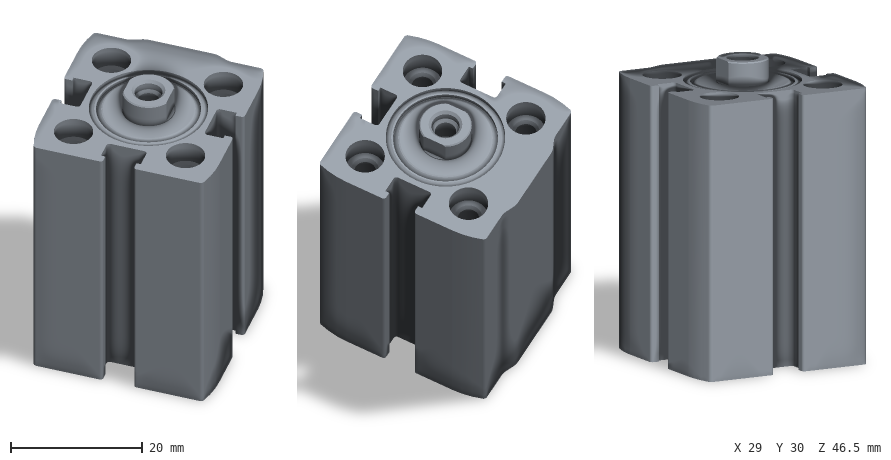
import cadquery as cq
import math

TOTAL_HEIGHT = 46.5
ROD_PROJECTION = 3.5
HOUSING_HEIGHT = TOTAL_HEIGHT - ROD_PROJECTION
HALF_WIDTH = 14.5

SIDE_FLAT_HALF = 9.2
SIDE_CURVE_RADIUS = 15.0
CORNER_RADIUS = 0.6
RAISED_BACK_HEIGHT = 0.98
RAISED_BACK_TOP_HALF = 5.7
RAISED_BACK_BASE_HALF = 8.0
RAISED_BACK_BLEND_RADIUS = 3.0

SLOT_MOUTH_WIDTH = 5.0
SLOT_INNER_WIDTH = 6.4
SLOT_DEPTH = 4.5
SLOT_LIP_THICKNESS = 1.4
SLOT_BOTTOM_RADIUS = 0.5
SLOT_LIP_RADIUS = 0.45
SLOT_ANGLES = [-90, 0, 180]

HOLE_SPACING = 18.0
HOLE_DIAMETER = 3.25
HOLE_CHAMFER_DIAMETER = 4.15
COUNTERBORE_DIAMETER = 6.0
COUNTERBORE_DEPTH = 3.5

COVER_RECESS = 0.2
COVER_HEIGHT = HOUSING_HEIGHT - COVER_RECESS
OUTER_GROOVE_DIAMETER = 18.2
OUTER_GROOVE_INNER_DIAMETER = 16.55
OUTER_GROOVE_SLOPE = 32.5
INNER_GROOVE_DIAMETER = 16.0
INNER_GROOVE_FLOOR_DIAMETER = 15.7
INNER_GROOVE_BREAK_DIAMETER = 14.4
INNER_GROOVE_INNER_DIAMETER = 13.95
INNER_GROOVE_SLOPE = 41.0
INNER_GROOVE_BREAK_SLOPE = 18.0
ROD_SEAT_CHAMFER = 0.15

ROD_DIAMETER = 8.0
ROD_FLATS_WIDTH = 7.0
ROD_CHAMFER = 0.2
ROD_BOTTOM = 23.0

THREAD_CHAMFER_DIAMETER = 5.1
THREAD_CHAMFER_DEPTH = 0.4
THREAD_DIAMETER = 4.3
THREAD_DEPTH = 1.55
TAPER_DIAMETER = 4.0
TAPER_DEPTH = 0.35
PILOT_DIAMETER = 3.25
PILOT_DEPTH = 5.6
PILOT_TIP_ANGLE = 120.0


def slope_drop(outer_diameter, inner_diameter, slope):
    """Height lost by a conical face between two diameters."""
    return (outer_diameter - inner_diameter) / 2 * math.tan(math.radians(slope))


def housing_blank():
    """Extruded section with curved sides and rounded corners."""
    curve_span = HALF_WIDTH - SIDE_FLAT_HALF

    def side_inset(distance):
        return SIDE_CURVE_RADIUS - math.sqrt(SIDE_CURVE_RADIUS**2 - distance**2)

    corner_x = HALF_WIDTH - side_inset(curve_span)
    middle_x = HALF_WIDTH - side_inset(curve_span / 2)
    middle_y = SIDE_FLAT_HALF + curve_span / 2
    return (
        cq.Workplane("XY")
        .moveTo(-corner_x, -HALF_WIDTH)
        .lineTo(corner_x, -HALF_WIDTH)
        .threePointArc((middle_x, -middle_y), (HALF_WIDTH, -SIDE_FLAT_HALF))
        .lineTo(HALF_WIDTH, SIDE_FLAT_HALF)
        .threePointArc((middle_x, middle_y), (corner_x, HALF_WIDTH))
        .lineTo(-corner_x, HALF_WIDTH)
        .threePointArc((-middle_x, middle_y), (-HALF_WIDTH, SIDE_FLAT_HALF))
        .lineTo(-HALF_WIDTH, -SIDE_FLAT_HALF)
        .threePointArc((-middle_x, -middle_y), (-corner_x, -HALF_WIDTH))
        .close()
        .extrude(HOUSING_HEIGHT)
        .edges("|Z and (<Y or >Y)")
        .fillet(CORNER_RADIUS)
    )


def add_raised_back(body):
    """Low raised strip on the +Y side, blended into the back face."""
    back_y = HALF_WIDTH + RAISED_BACK_HEIGHT
    strip = (
        cq.Workplane("XY")
        .moveTo(-RAISED_BACK_BASE_HALF, HALF_WIDTH)
        .lineTo(-RAISED_BACK_TOP_HALF, back_y)
        .lineTo(RAISED_BACK_TOP_HALF, back_y)
        .lineTo(RAISED_BACK_BASE_HALF, HALF_WIDTH)
        .close()
        .extrude(HOUSING_HEIGHT)
    )
    body = body.union(strip)
    reach = RAISED_BACK_BASE_HALF + CORNER_RADIUS
    blend_zone = cq.selectors.BoxSelector(
        (-reach, HALF_WIDTH - CORNER_RADIUS, 0),
        (reach, back_y + CORNER_RADIUS, HOUSING_HEIGHT),
    )
    return body.edges("|Z").edges(blend_zone).fillet(RAISED_BACK_BLEND_RADIUS)


def sensor_slot(angle):
    """Full-height slot cut into the +X side, then turned about Z."""
    floor_x = HALF_WIDTH - SLOT_DEPTH
    lip_x = HALF_WIDTH - SLOT_LIP_THICKNESS
    chamber = (
        cq.Workplane("XY")
        .box(lip_x - floor_x, SLOT_INNER_WIDTH, HOUSING_HEIGHT, centered=(False, True, False))
        .translate((floor_x, 0, 0))
        .edges("|Z and <X")
        .fillet(SLOT_BOTTOM_RADIUS)
    )
    half_mouth = SLOT_MOUTH_WIDTH / 2
    flare_x = HALF_WIDTH - SLOT_LIP_RADIUS
    flare_half = half_mouth + SLOT_LIP_RADIUS
    mouth = (
        cq.Workplane("XY")
        .moveTo(HALF_WIDTH, flare_half)
        .lineTo(HALF_WIDTH, -flare_half)
        .radiusArc((flare_x, -half_mouth), -SLOT_LIP_RADIUS)
        .lineTo(lip_x, -half_mouth)
        .lineTo(lip_x, half_mouth)
        .lineTo(flare_x, half_mouth)
        .radiusArc((HALF_WIDTH, flare_half), -SLOT_LIP_RADIUS)
        .close()
        .extrude(HOUSING_HEIGHT)
    )
    return chamber.union(mouth).rotate((0, 0, 0), (0, 0, 1), angle)


def mounting_hole():
    """Through hole with a chamfered mouth at the bottom of a counterbore."""
    hole = HOLE_DIAMETER / 2
    chamfer = HOLE_CHAMFER_DIAMETER / 2
    counterbore = COUNTERBORE_DIAMETER / 2
    floor_z = HOUSING_HEIGHT - COUNTERBORE_DEPTH
    return (
        cq.Workplane("XZ")
        .lineTo(hole, 0)
        .lineTo(hole, floor_z - (chamfer - hole))
        .lineTo(chamfer, floor_z)
        .lineTo(counterbore, floor_z)
        .lineTo(counterbore, HOUSING_HEIGHT)
        .lineTo(0, HOUSING_HEIGHT)
        .close()
        .revolve(360, (0, 0, 0), (0, 1, 0))
    )


def cover_recess():
    """Material removed from the top face to form the sunk cover and its grooves."""
    outer_drop = slope_drop(OUTER_GROOVE_DIAMETER, OUTER_GROOVE_INNER_DIAMETER, OUTER_GROOVE_SLOPE)
    break_drop = slope_drop(
        INNER_GROOVE_BREAK_DIAMETER, INNER_GROOVE_INNER_DIAMETER, INNER_GROOVE_BREAK_SLOPE
    )
    inner_drop = slope_drop(
        INNER_GROOVE_FLOOR_DIAMETER, INNER_GROOVE_BREAK_DIAMETER, INNER_GROOVE_SLOPE
    )
    break_z = COVER_HEIGHT - break_drop
    floor_z = break_z - inner_drop
    return (
        cq.Workplane("XZ")
        .moveTo(0, HOUSING_HEIGHT)
        .lineTo(0, COVER_HEIGHT)
        .lineTo(INNER_GROOVE_INNER_DIAMETER / 2, COVER_HEIGHT)
        .lineTo(INNER_GROOVE_BREAK_DIAMETER / 2, break_z)
        .lineTo(INNER_GROOVE_FLOOR_DIAMETER / 2, floor_z)
        .lineTo(INNER_GROOVE_DIAMETER / 2, floor_z)
        .lineTo(INNER_GROOVE_DIAMETER / 2, COVER_HEIGHT)
        .lineTo(OUTER_GROOVE_INNER_DIAMETER / 2, COVER_HEIGHT)
        .lineTo(OUTER_GROOVE_DIAMETER / 2, COVER_HEIGHT - outer_drop)
        .lineTo(OUTER_GROOVE_DIAMETER / 2, HOUSING_HEIGHT)
        .close()
        .revolve(360, (0, 0, 0), (0, 1, 0))
    )


def rod_seat():
    """Blind hole for the rod with a chamfered mouth in the sunk cover face."""
    seat = ROD_DIAMETER / 2
    mouth = seat + ROD_SEAT_CHAMFER
    return (
        cq.Workplane("XZ")
        .moveTo(0, ROD_BOTTOM)
        .lineTo(seat, ROD_BOTTOM)
        .lineTo(seat, COVER_HEIGHT - ROD_SEAT_CHAMFER)
        .lineTo(mouth, COVER_HEIGHT)
        .lineTo(0, COVER_HEIGHT)
        .close()
        .revolve(360, (0, 0, 0), (0, 1, 0))
    )


def make_housing():
    body = add_raised_back(housing_blank())
    for angle in SLOT_ANGLES:
        body = body.cut(sensor_slot(angle))
    for side_x in (-1, 1):
        for side_y in (-1, 1):
            offset = (side_x * HOLE_SPACING / 2, side_y * HOLE_SPACING / 2, 0)
            body = body.cut(mounting_hole().translate(offset))
    return body.cut(cover_recess()).cut(rod_seat())


def rod_hole():
    """Threaded hole with a chamfered mouth, then a taper into a narrower pilot with a conical tip."""
    thread = THREAD_DIAMETER / 2
    pilot = PILOT_DIAMETER / 2
    step_z = TOTAL_HEIGHT - THREAD_DEPTH
    pilot_end_z = TOTAL_HEIGHT - PILOT_DEPTH
    tip_z = pilot_end_z - pilot / math.tan(math.radians(PILOT_TIP_ANGLE / 2))
    return (
        cq.Workplane("XZ")
        .moveTo(0, TOTAL_HEIGHT)
        .lineTo(THREAD_CHAMFER_DIAMETER / 2, TOTAL_HEIGHT)
        .lineTo(thread, TOTAL_HEIGHT - THREAD_CHAMFER_DEPTH)
        .lineTo(thread, step_z)
        .lineTo(TAPER_DIAMETER / 2, step_z)
        .lineTo(pilot, step_z - TAPER_DEPTH)
        .lineTo(pilot, pilot_end_z)
        .lineTo(0, tip_z)
        .close()
        .revolve(360, (0, 0, 0), (0, 1, 0))
    )


def make_rod():
    """Round rod seated in the housing, with two wrench flats down to the cover face."""
    rod = (
        cq.Workplane("XY", origin=(0, 0, ROD_BOTTOM))
        .circle(ROD_DIAMETER / 2)
        .extrude(TOTAL_HEIGHT - ROD_BOTTOM)
        .faces(">Z")
        .chamfer(ROD_CHAMFER)
    )
    for side in (-1, 1):
        offset_x = side * (ROD_FLATS_WIDTH + ROD_DIAMETER) / 2
        waste = cq.Workplane("XY", origin=(offset_x, 0, COVER_HEIGHT)).box(
            ROD_DIAMETER, ROD_DIAMETER, TOTAL_HEIGHT - COVER_HEIGHT, centered=(True, True, False)
        )
        rod = rod.cut(waste)
    return rod.cut(rod_hole())


housing = make_housing()
rod = make_rod()
result = cq.Compound.makeCompound([housing.val(), rod.val()])